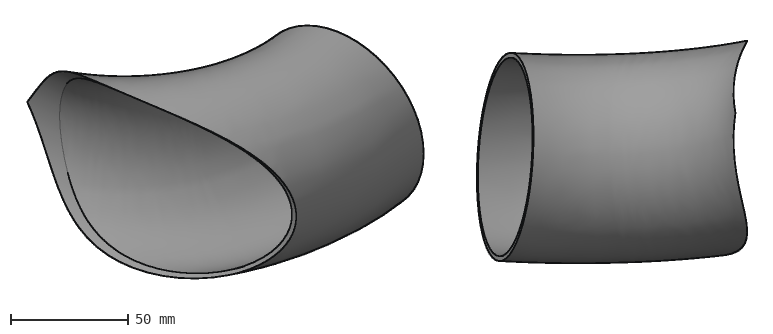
import cadquery as cq


outer_reach = 158.5
tube_diameter = 88.9
wall = 2.0
header_diameter = 114.4
bend_angle = 90.0

tube_radius = tube_diameter / 2
bore_radius = tube_radius - wall
bend_radius = outer_reach - tube_radius
inner_reach = bend_radius - tube_radius
header_radius = header_diameter / 2
header_axis_y = -(inner_reach + header_radius)
header_overrun = 15.8


def quarter_bend():
    """Tube bent about the Z axis, from its flat end on the XZ plane towards -Y."""
    section = cq.Workplane("XZ").center(bend_radius, 0).circle(tube_radius).circle(bore_radius)
    axis_start = (-bend_radius, 0)
    axis_end = (-bend_radius, -1)
    return section.revolve(bend_angle, axis_start, axis_end)


def header_pipe():
    """Solid cylinder along X, long enough to pass right through the bend."""
    return (
        cq.Workplane("ZY")
        .center(0, header_axis_y)
        .circle(header_radius)
        .extrude(outer_reach + header_overrun, both=True)
    )


result = quarter_bend().cut(header_pipe())